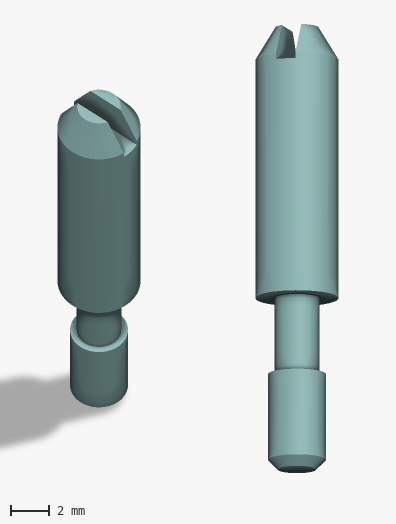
import cadquery as cq

total_length = 23.2
body_diameter = 4.3
neck_diameter = 2.3
tip_diameter = 3.0

tip_length = 5.0
body_bottom = 9.0

nose_height = 1.7
nose_top_diameter = 2.25
tip_chamfer = 0.5

slot_width = 1.05
slot_depth = 2.0


def make_turned_pin():
    """Revolve the half profile of tip, neck, body and nose about Z."""
    body_radius = body_diameter / 2
    neck_radius = neck_diameter / 2
    tip_radius = tip_diameter / 2
    profile = [
        (0, 0),
        (tip_radius - tip_chamfer, 0),
        (tip_radius, tip_chamfer),
        (tip_radius, tip_length),
        (neck_radius, tip_length),
        (neck_radius, body_bottom),
        (body_radius, body_bottom),
        (body_radius, total_length - nose_height),
        (nose_top_diameter / 2, total_length),
        (0, total_length),
    ]
    return cq.Workplane("XZ").polyline(profile).close().revolve(360, (0, 0), (0, 1))


def make_slot_cutter():
    """Box that spans the full body and opens the slot through the top face."""
    return (
        cq.Workplane("XY")
        .box(2 * body_diameter, slot_width, slot_depth, centered=(True, True, False))
        .translate((0, 0, total_length - slot_depth))
    )


result = make_turned_pin().cut(make_slot_cutter())